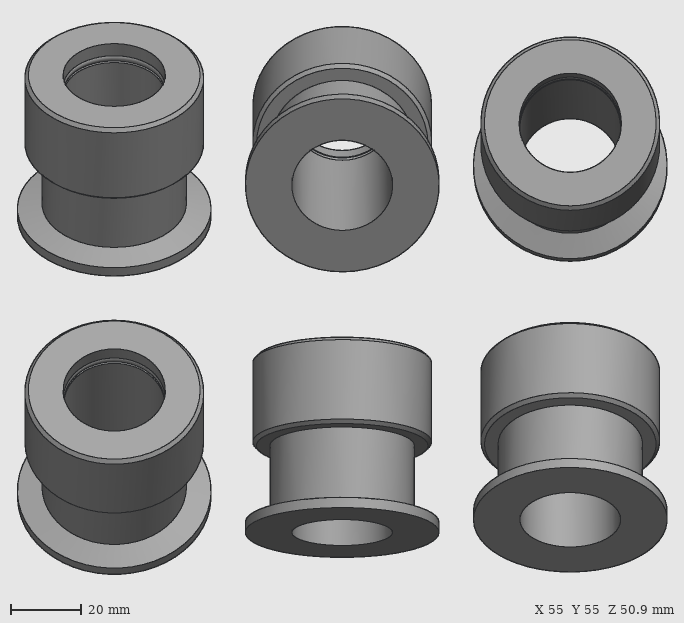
import cadquery as cq

total_height = 50.9

flange_radius = 55 / 2
flange_rim_height = 3.0
flange_height = 4.9

neck_radius = 41.0 / 2

collar_radius = 50.8 / 2
collar_height = 25.4
collar_chamfer = 1.05

bore_radius = 28.6 / 2
entry_radius = 29.0 / 2
entry_depth = 4.35
bead_radius = 1.15


def revolve_about_z(profile):
    """Turn a closed half profile (radius, height) into a solid about Z."""
    return profile.revolve(360, (0, 0), (0, 1))


def make_body():
    """Solid flange, neck and collar."""
    collar_bottom = total_height - collar_height
    collar_face_radius = collar_radius - collar_chamfer
    return revolve_about_z(
        cq.Workplane("XZ")
        .lineTo(flange_radius, 0)
        .lineTo(flange_radius, flange_rim_height)
        .lineTo(neck_radius, flange_height)
        .lineTo(neck_radius, collar_bottom)
        .lineTo(collar_face_radius, collar_bottom)
        .lineTo(collar_radius, collar_bottom + collar_chamfer)
        .lineTo(collar_radius, total_height - collar_chamfer)
        .lineTo(collar_face_radius, total_height)
        .lineTo(0, total_height)
        .close()
    )


def make_bore():
    """Through bore whose wall bulges inwards as a half-round bead below the entry."""
    bead_top = total_height - entry_depth
    bead_middle = bead_top - bead_radius
    bead_bottom = bead_middle - bead_radius
    bead_centre_radius = bore_radius + bead_radius
    return revolve_about_z(
        cq.Workplane("XZ")
        .lineTo(bore_radius, 0)
        .lineTo(bore_radius, bead_bottom)
        .lineTo(bead_centre_radius, bead_bottom)
        .threePointArc((bore_radius, bead_middle), (bead_centre_radius, bead_top))
        .lineTo(entry_radius, bead_top)
        .lineTo(entry_radius, total_height)
        .lineTo(0, total_height)
        .close()
    )


result = make_body().cut(make_bore())